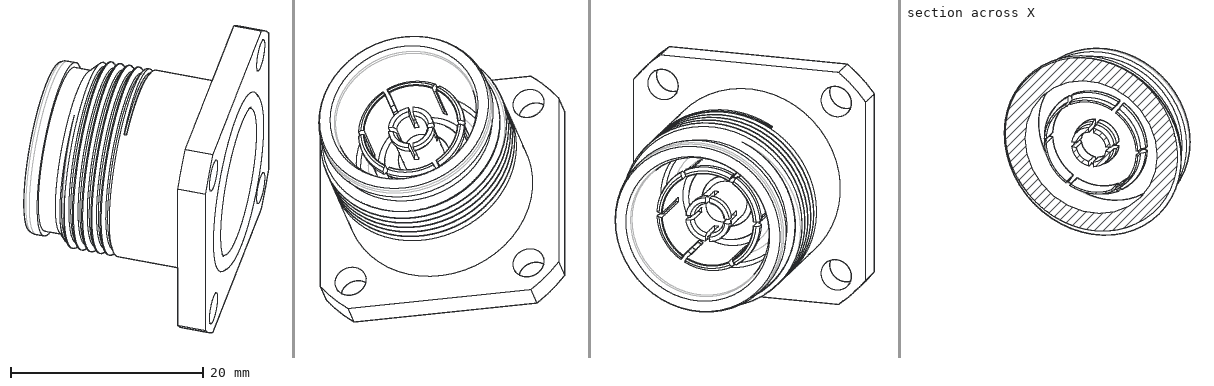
import cadquery as cq
import math


LIP_LENGTH = 1.5
NECK_END = 3.33
FLANGE_FRONT = 17.6
FLANGE_THICKNESS = 3.0
FLANGE_BACK = FLANGE_FRONT + FLANGE_THICKNESS
OVERALL_LENGTH = 21.1

LIP_FACE_RADIUS = 9.0
LIP_RADIUS = 9.2
LIP_CHAMFER_LENGTH = 0.28
LIP_CHAMFER_RADIUS = 9.15
LIP_ROUND_END = 0.65
LIP_ROUND_RADIUS = 1.45
NECK_RADIUS = 8.69
BODY_RADIUS = 9.93

FLANGE_SIDE = 25.4
FLANGE_CORNER_RADIUS = 16
MOUNT_HOLE_SPACING = 18.95
MOUNT_HOLE_DIAMETER = 3.3

GASKET_WIRE_RADIUS = 1.0
GASKET_RING_RADIUS = 8.65

MOUTH_RADIUS = 7.87
LEAD_IN_LENGTH = 0.65
LEAD_IN_RADIUS = 7.57
TAPER_START = 0.95
TAPER_START_RADIUS = 7.5
TAPER_END_RADIUS = 7.16
FLOOR_RADIUS = 6.85
FLOOR_CHAMFER_LENGTH = 0.75
SOCKET_FLOOR = 10.41

COLLET_TIP = 3.3
COLLET_HEAD_RADIUS = 5.65
COLLET_STEM_RADIUS = 5.23
COLLET_INNER_RADIUS = 4.98
COLLET_HEAD_LENGTH = 1.27
COLLET_NOSE_CHAMFER = 0.33
COLLET_MOUTH_CHAMFER = 0.08
COLLET_BASE_FILLET = 0.81
COLLET_SLOTS = 6
COLLET_SLOT_DEPTH = 5.6

INSULATOR_RADIUS = 4.27
INSULATOR_STEP = 0.25

CONTACT_TIP = 3.3
CONTACT_HEAD_RADIUS = 2.4
CONTACT_STEM_RADIUS = 2.18
CONTACT_HEAD_LENGTH = 1.02
CONTACT_SHOULDER_RADIUS = 2.75
CONTACT_HOLE_RADIUS = 1.63
CONTACT_MOUTH_RADIUS = 1.9
CONTACT_MOUTH_LENGTH = 0.5
CONTACT_HOLE_DEPTH = 4.57
CONTACT_DRILL_HALF_ANGLE = 60
CONTACT_SLOTS = 4
CONTACT_SLOT_DEPTH = 3.05
SLOT_WIDTH = 0.48

GROOVE_START = 3.33
GROOVE_LAST = 9.3
GROOVE_TURNS = 6
PITCH = (GROOVE_LAST - GROOVE_START) / GROOVE_TURNS
GROOVE_ROOT_RADIUS = 9.35
GROOVE_ROOT_WIDTH = 0.2
FLANK_ANGLE = 30
GROOVE_CLEARANCE = 0.05
FULL_DEPTH_TURNS = GROOVE_TURNS + 1 / 4
RUNOUT_TURNS = 1 / 3
RUNOUT_DEPTH = 0.08
RUNOUT_CURVE_POINTS = 24


def revolve_about_x(outline):
    return outline.close().revolve(360, (0, 0, 0), (1, 0, 0))


def make_shell():
    cone_end = NECK_END + BODY_RADIUS - NECK_RADIUS
    return revolve_about_x(
        cq.Workplane("XY")
        .lineTo(0, LIP_FACE_RADIUS)
        .lineTo(LIP_CHAMFER_LENGTH, LIP_CHAMFER_RADIUS)
        .radiusArc((LIP_ROUND_END, LIP_RADIUS), LIP_ROUND_RADIUS)
        .lineTo(LIP_LENGTH, LIP_RADIUS)
        .lineTo(LIP_LENGTH, NECK_RADIUS)
        .lineTo(NECK_END, NECK_RADIUS)
        .lineTo(cone_end, BODY_RADIUS)
        .lineTo(FLANGE_BACK, BODY_RADIUS)
        .lineTo(FLANGE_BACK, 0)
    )


def make_flange():
    plane = cq.Workplane("YZ", origin=(FLANGE_FRONT, 0, 0))
    flange = plane.rect(FLANGE_SIDE, FLANGE_SIDE).extrude(FLANGE_THICKNESS)
    flange = flange.intersect(plane.circle(FLANGE_CORNER_RADIUS).extrude(FLANGE_THICKNESS))
    holes = (
        plane.rect(MOUNT_HOLE_SPACING, MOUNT_HOLE_SPACING, forConstruction=True)
        .vertices()
        .circle(MOUNT_HOLE_DIAMETER / 2)
        .extrude(FLANGE_THICKNESS)
    )
    return flange.cut(holes)


def make_gasket():
    wire_center = OVERALL_LENGTH - GASKET_WIRE_RADIUS
    half_width = math.sqrt(GASKET_WIRE_RADIUS**2 - (FLANGE_BACK - wire_center) ** 2)
    return revolve_about_x(
        cq.Workplane("XY")
        .moveTo(FLANGE_BACK, GASKET_RING_RADIUS - half_width)
        .threePointArc(
            (OVERALL_LENGTH, GASKET_RING_RADIUS),
            (FLANGE_BACK, GASKET_RING_RADIUS + half_width),
        )
        .lineTo(wire_center, GASKET_RING_RADIUS + half_width)
        .lineTo(wire_center, GASKET_RING_RADIUS - half_width)
    )


def make_socket():
    return revolve_about_x(
        cq.Workplane("XY")
        .lineTo(0, MOUTH_RADIUS)
        .lineTo(LEAD_IN_LENGTH, LEAD_IN_RADIUS)
        .lineTo(TAPER_START, TAPER_START_RADIUS)
        .lineTo(SOCKET_FLOOR - FLOOR_CHAMFER_LENGTH, TAPER_END_RADIUS)
        .lineTo(SOCKET_FLOOR, FLOOR_RADIUS)
        .lineTo(SOCKET_FLOOR, 0)
    )


def slot_cutters(count, tip, depth, inner_radius, outer_radius):
    cutters = cq.Workplane("XY")
    for i in range(count):
        blade = cq.Workplane("XY").box(
            depth, outer_radius - inner_radius, SLOT_WIDTH, centered=(False, False, True)
        )
        blade = blade.translate((tip, inner_radius, 0))
        cutters = cutters.add(blade.rotate((0, 0, 0), (1, 0, 0), 360 / count * i))
    return cutters.combine()


def make_collet():
    tip_inner = COLLET_INNER_RADIUS + COLLET_MOUTH_CHAMFER
    tip_outer = COLLET_HEAD_RADIUS - COLLET_NOSE_CHAMFER
    head_end = COLLET_TIP + COLLET_HEAD_LENGTH
    head_step = COLLET_HEAD_RADIUS - COLLET_STEM_RADIUS
    fillet_top = COLLET_STEM_RADIUS + COLLET_BASE_FILLET
    collet = revolve_about_x(
        cq.Workplane("XY")
        .moveTo(SOCKET_FLOOR, COLLET_INNER_RADIUS)
        .lineTo(COLLET_TIP + COLLET_MOUTH_CHAMFER, COLLET_INNER_RADIUS)
        .lineTo(COLLET_TIP, tip_inner)
        .lineTo(COLLET_TIP, tip_outer)
        .lineTo(COLLET_TIP + COLLET_NOSE_CHAMFER, COLLET_HEAD_RADIUS)
        .lineTo(head_end - head_step, COLLET_HEAD_RADIUS)
        .lineTo(head_end, COLLET_STEM_RADIUS)
        .lineTo(SOCKET_FLOOR - COLLET_BASE_FILLET, COLLET_STEM_RADIUS)
        .radiusArc((SOCKET_FLOOR, fillet_top), -COLLET_BASE_FILLET)
    )
    slots = slot_cutters(
        COLLET_SLOTS, COLLET_TIP, COLLET_SLOT_DEPTH, CONTACT_SHOULDER_RADIUS, COLLET_HEAD_RADIUS
    )
    return collet.cut(slots)


def make_center_contact():
    """Insulator disc, contact shoulder and the contact itself, with its drilled hole and slots."""
    insulator_face = SOCKET_FLOOR - INSULATOR_STEP
    shoulder_face = insulator_face - INSULATOR_STEP
    head_step = CONTACT_HEAD_RADIUS - CONTACT_STEM_RADIUS
    contact = revolve_about_x(
        cq.Workplane("XY")
        .moveTo(CONTACT_TIP, 0)
        .lineTo(CONTACT_TIP, CONTACT_HEAD_RADIUS)
        .lineTo(CONTACT_TIP + CONTACT_HEAD_LENGTH - head_step, CONTACT_HEAD_RADIUS)
        .lineTo(CONTACT_TIP + CONTACT_HEAD_LENGTH, CONTACT_STEM_RADIUS)
        .lineTo(shoulder_face, CONTACT_STEM_RADIUS)
        .lineTo(shoulder_face, CONTACT_SHOULDER_RADIUS)
        .lineTo(insulator_face, CONTACT_SHOULDER_RADIUS)
        .lineTo(insulator_face, INSULATOR_RADIUS)
        .lineTo(SOCKET_FLOOR, INSULATOR_RADIUS)
        .lineTo(SOCKET_FLOOR, 0)
    )
    hole_end = CONTACT_TIP + CONTACT_HOLE_DEPTH
    drill_point = CONTACT_HOLE_RADIUS / math.tan(math.radians(CONTACT_DRILL_HALF_ANGLE))
    hole = revolve_about_x(
        cq.Workplane("XY")
        .moveTo(CONTACT_TIP, 0)
        .lineTo(CONTACT_TIP, CONTACT_MOUTH_RADIUS)
        .lineTo(CONTACT_TIP + CONTACT_MOUTH_LENGTH, CONTACT_HOLE_RADIUS)
        .lineTo(hole_end, CONTACT_HOLE_RADIUS)
        .lineTo(hole_end + drill_point, 0)
    )
    slots = slot_cutters(CONTACT_SLOTS, CONTACT_TIP, CONTACT_SLOT_DEPTH, 0, CONTACT_HEAD_RADIUS)
    return contact.cut(hole).cut(slots)


def groove_section(plane):
    """Trapezoid groove profile; local x points outwards and local y along the screw axis."""
    height = BODY_RADIUS - GROOVE_ROOT_RADIUS + GROOVE_CLEARANCE
    root = GROOVE_ROOT_WIDTH / 2
    top = root + height * math.tan(math.radians(FLANK_ANGLE))
    points = [(0, -root), (height, -top), (height, top), (0, root)]
    return cq.Workplane(plane).polyline(points).close()


def make_thread_groove():
    """Right-hand groove about Z with a run-out that rises to the surface, turned onto X."""
    full_height = PITCH * FULL_DEPTH_TURNS
    helix = cq.Workplane(cq.Wire.makeHelix(PITCH, full_height, GROOVE_ROOT_RADIUS))
    start = cq.Plane(origin=(GROOVE_ROOT_RADIUS, 0, 0), xDir=(1, 0, 0), normal=(0, -1, 0))
    groove = groove_section(start).sweep(helix, isFrenet=True)

    rise = BODY_RADIUS - RUNOUT_DEPTH - GROOVE_ROOT_RADIUS

    def runout_point(t):
        turns = FULL_DEPTH_TURNS + RUNOUT_TURNS * t
        radius = GROOVE_ROOT_RADIUS + rise * t
        angle = 2 * math.pi * turns
        return (radius * math.cos(angle), radius * math.sin(angle), PITCH * turns)

    full_end = cq.Plane(origin=runout_point(0), xDir=(0, 1, 0), normal=(1, 0, 0))
    runout_path = cq.Workplane("XY").parametricCurve(runout_point, N=RUNOUT_CURVE_POINTS)
    runout = groove_section(full_end).sweep(runout_path, isFrenet=True)

    def onto_x(cutter):
        return cutter.rotate((0, 0, 0), (0, 1, 0), 90).translate((GROOVE_START, 0, 0))

    return onto_x(groove), onto_x(runout)


shell = make_shell()
for cutter in make_thread_groove():
    shell = shell.cut(cutter)

result = (
    shell.cut(make_socket())
    .union(make_flange())
    .union(make_gasket())
    .union(make_collet())
    .union(make_center_contact())
    .solids()
)